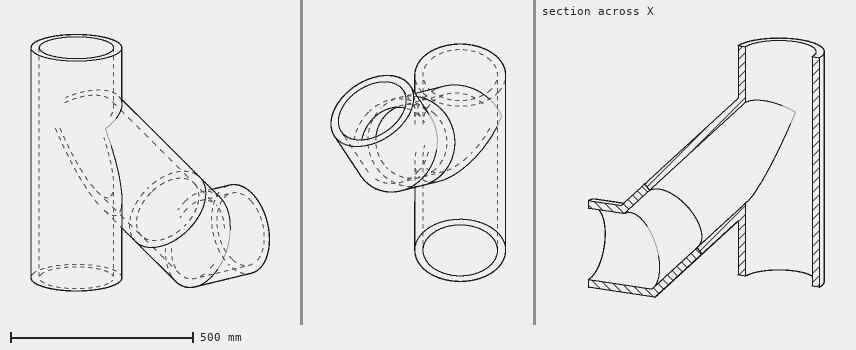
import cadquery as cq
import math

overall_height = 759.0

outer_diameter = 250.0
outer_radius = outer_diameter / 2
wall = 23.0
bore_radius = outer_radius - wall

run_length = 660.0
branch_below_top = 203.0
branch_angle = math.radians(45)

elbow_leg = 152.0
miter_drop = overall_height - branch_below_top - outer_radius

branch_direction = cq.Vector(0, math.cos(branch_angle), -math.sin(branch_angle))
outlet_direction = cq.Vector(0, 1, 0)
down = cq.Vector(0, 0, -1)
junction = cq.Vector(0, 0, 0)
run_top = cq.Vector(0, 0, branch_below_top)
corner_distance = miter_drop / math.sin(branch_angle)
elbow_corner = branch_direction * corner_distance
branch_length = corner_distance - elbow_leg
joint = branch_direction * branch_length


def rod(radius, start, direction, length):
    """Solid cylinder along a direction."""
    return cq.Workplane(cq.Solid.makeCylinder(radius, length, start, direction))


def tee_volume(radius):
    """Run and branch filled to the given radius."""
    run = rod(radius, run_top, down, run_length)
    branch = rod(radius, junction, branch_direction, branch_length)
    return run.union(branch)


def elbow_volume(radius):
    """Two straight legs meeting at a mitre, filled to the given radius."""
    profile = cq.Plane(origin=joint.toTuple(), xDir=(1, 0, 0), normal=branch_direction.toTuple())
    outlet_end = elbow_corner + outlet_direction * elbow_leg
    path = (
        cq.Workplane("YZ")
        .moveTo(joint.y, joint.z)
        .lineTo(elbow_corner.y, elbow_corner.z)
        .lineTo(outlet_end.y, outlet_end.z)
    )
    return cq.Workplane(profile).circle(radius).sweep(path, transition="right")


tee = tee_volume(outer_radius).cut(tee_volume(bore_radius))
elbow = elbow_volume(outer_radius).cut(elbow_volume(bore_radius))

result = cq.Compound.makeCompound([tee.solids().val(), elbow.solids().val()])